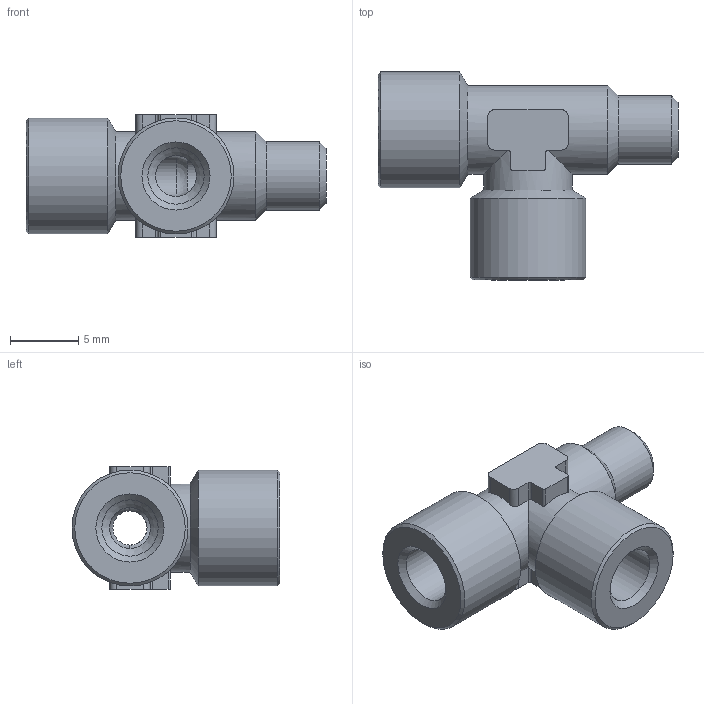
import cadquery as cq
import math


end_distance = 11.0
body_diameter = 6.5

socket_diameter = 8.5
socket_length = 6.0
socket_rim_chamfer = 0.2
socket_shoulder_angle = 60.0

mouth_diameter = 5.0
thread_diameter = 4.13
thread_depth = 5.0
drill_tip_angle = 90.0
passage_diameter = 3.0

male_diameter = 5.0
male_length = 4.4
male_chamfer = 0.5
male_bore_diameter = 2.5

pad_height = 9.0
pad_bar_length = 5.9
pad_bar_half_width = 1.48
pad_stem_width = 2.6
pad_stem_reach = 2.97
pad_bar_radius = 0.5
pad_stem_radius = 0.18

body_radius = body_diameter / 2
socket_radius = socket_diameter / 2
thread_radius = thread_diameter / 2
passage_radius = passage_diameter / 2
male_radius = male_diameter / 2


def revolve_about_x(points):
    """Solid of revolution about X from an (x, radius) outline."""
    return cq.Workplane("XY").polyline(points).close().revolve(360, (0, 0, 0), (1, 0, 0))


def female_port():
    """Socket on the -X side with its neck reaching the crossing."""
    shoulder_start = -end_distance + socket_length
    shoulder_length = (socket_radius - body_radius) / math.tan(math.radians(socket_shoulder_angle))
    return revolve_about_x([
        (-end_distance, 0),
        (-end_distance, socket_radius - socket_rim_chamfer),
        (-end_distance + socket_rim_chamfer, socket_radius),
        (shoulder_start, socket_radius),
        (shoulder_start + shoulder_length, body_radius),
        (0, body_radius),
        (0, 0),
    ])


def female_bore():
    """Countersunk threaded bore on the -X side, narrowing to the passage at the crossing."""
    mouth_radius = mouth_diameter / 2
    countersink_depth = mouth_radius - thread_radius
    thread_end = -end_distance + thread_depth
    tip_length = (thread_radius - passage_radius) / math.tan(math.radians(drill_tip_angle / 2))
    return revolve_about_x([
        (-end_distance, 0),
        (-end_distance, mouth_radius),
        (-end_distance + countersink_depth, thread_radius),
        (thread_end, thread_radius),
        (thread_end + tip_length, passage_radius),
        (0, passage_radius),
        (0, 0),
    ])


def male_port():
    """Run body from the crossing to the stepped, chamfered +X end."""
    step_end = end_distance - male_length
    step_start = step_end - (body_radius - male_radius)
    return revolve_about_x([
        (0, 0),
        (0, body_radius),
        (step_start, body_radius),
        (step_end, male_radius),
        (end_distance - male_chamfer, male_radius),
        (end_distance, male_radius - male_chamfer),
        (end_distance, 0),
    ])


def turn_to_branch(port):
    """Swing a -X port round to the -Y side."""
    return port.rotate((0, 0, 0), (0, 0, 1), 90)


def pads():
    """T-shaped block whose ends form the two flats."""
    bar = (
        cq.Workplane("XY")
        .box(pad_bar_length, 2 * pad_bar_half_width, pad_height)
        .edges("|Z")
        .fillet(pad_bar_radius)
    )
    stem = (
        cq.Workplane("XY")
        .box(pad_stem_width, pad_stem_reach, pad_height)
        .translate((0, -pad_stem_reach / 2, 0))
    )
    select_half_width = pad_stem_width / 2 + pad_stem_radius
    stem_corners = cq.selectors.BoxSelector(
        (-select_half_width, -pad_stem_reach - pad_stem_radius, -pad_height),
        (select_half_width, -pad_bar_half_width + pad_stem_radius, pad_height),
    )
    return bar.union(stem).edges("|Z").edges(stem_corners).fillet(pad_stem_radius)


def male_bore():
    """Through passage from the crossing to the +X end."""
    return cq.Workplane("YZ").circle(male_bore_diameter / 2).extrude(end_distance)


crossing_ball = cq.Workplane("XZ").sphere(passage_radius)

body = female_port().union(male_port()).union(turn_to_branch(female_port())).union(pads())

result = (
    body
    .cut(female_bore())
    .cut(turn_to_branch(female_bore()))
    .cut(crossing_ball)
    .cut(male_bore())
)